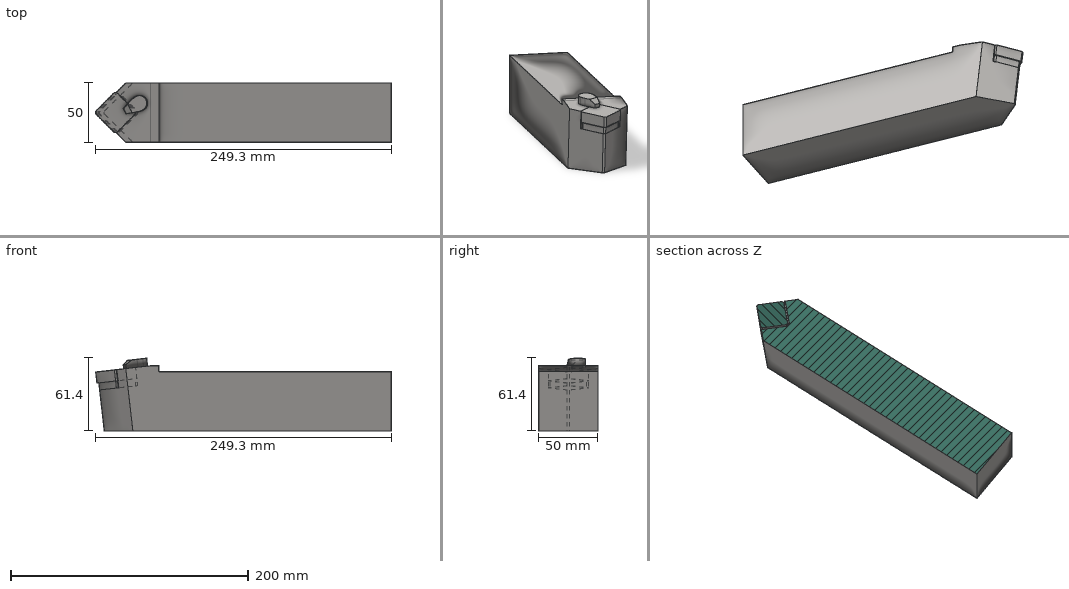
import cadquery as cq
import math

length = 249.3
width = 50.0
shank_height = width
head_height = 55.0
ridge_x = 46.1
step_x = 53.4
step_fillet = 1.0
rake = 6.5

insert_side = 25.5
insert_thickness = 9.5
corner_flat = 2.07
shim_thickness = 6.0
flank_inset = 1.12

clamp_x = 25.0
clamp_y = 1.15
clamp_angle = 28.0
clamp_height = 6.7
clamp_nose_height = 3.2
clamp_nose_half_width = 2.5
clamp_ramp_length = 5.5
clamp_radius = 6.5
clamp_round_center = 14.5
clamp_blend_start = 9.5

nose_z = head_height - ridge_x * math.tan(math.radians(rake))
insert_center = insert_side / math.sqrt(2) - corner_flat / 2
pocket_depth = insert_thickness + shim_thickness
shim_side = insert_side - 2 * flank_inset
head_nose = flank_inset * math.sqrt(2)

seat_x = cq.Vector(math.cos(math.radians(rake)), 0, math.sin(math.radians(rake)))
seat_normal = cq.Vector(-seat_x.z, 0, seat_x.x)
seat = cq.Plane(origin=(0, 0, nose_z), xDir=seat_x, normal=seat_normal)


def square_plate(side, thickness, depth):
    """Corner-first square plate with flattened corners, its top at a depth below the seat plane."""
    leg = corner_flat / math.sqrt(2)
    return (
        cq.Workplane(seat)
        .transformed(offset=(insert_center, 0, -depth), rotate=(0, 0, 45))
        .rect(side, side)
        .extrude(-thickness)
        .edges(cq.selectors.ParallelDirSelector(seat_normal))
        .chamfer(leg)
    )


def make_bar():
    """Shank and raised head, pointed in plan by flanks square to the seat plane."""
    overhang = -shank_height
    overhang_z = nose_z + overhang * math.tan(math.radians(rake))
    bar = (
        cq.Workplane("XZ", origin=(0, width / 2, 0))
        .moveTo(overhang, 0)
        .lineTo(length, 0)
        .lineTo(length, shank_height)
        .lineTo(step_x + step_fillet, shank_height)
        .radiusArc((step_x, shank_height + step_fillet), step_fillet)
        .lineTo(step_x, head_height)
        .lineTo(ridge_x, head_height)
        .lineTo(overhang, overhang_z)
        .close()
        .extrude(width)
    )
    half_flat = corner_flat / 2
    rear = 2 * length
    half_spread = half_flat + rear - head_nose
    pointed_prism = (
        cq.Workplane(seat)
        .polyline([
            (head_nose, -half_flat),
            (rear, -half_spread),
            (rear, half_spread),
            (head_nose, half_flat),
        ])
        .close()
        .extrude(length, both=True)
    )
    return bar.intersect(pointed_prism)


def make_clamp():
    """Teardrop clamp with a ramped nose, standing on the seat plane."""
    blend_middle = (clamp_blend_start + clamp_round_center) / 2
    taper = (clamp_radius - clamp_nose_half_width) / blend_middle
    blend_half_width = clamp_nose_half_width + taper * clamp_blend_start
    clamp_end = clamp_round_center + clamp_radius
    base = cq.Workplane(seat).transformed(offset=(clamp_x, clamp_y, 0), rotate=(0, 0, clamp_angle))
    teardrop = (
        base.moveTo(0, -clamp_nose_half_width)
        .lineTo(clamp_blend_start, -blend_half_width)
        .tangentArcPoint((clamp_round_center, -clamp_radius), relative=False)
        .threePointArc((clamp_end, 0), (clamp_round_center, clamp_radius))
        .tangentArcPoint((clamp_blend_start, blend_half_width), relative=False)
        .lineTo(0, clamp_nose_half_width)
        .close()
        .extrude(clamp_height)
    )
    ramp_cut = (
        base.transformed(rotate=(90, 0, 0))
        .moveTo(0, clamp_nose_height)
        .lineTo(clamp_ramp_length, clamp_height)
        .lineTo(0, clamp_height)
        .close()
        .extrude(clamp_radius, both=True)
    )
    return teardrop.cut(ramp_cut)


def make_holder():
    """Bar with its insert pocket and the clamp that reaches over it."""
    pocket = square_plate(insert_side, pocket_depth, 0)
    return make_bar().cut(pocket).union(make_clamp())


def make_insert():
    """Cutting plate on its smaller shim, flush with the head flanks below."""
    plate = square_plate(insert_side, insert_thickness, 0)
    shim = square_plate(shim_side, shim_thickness, insert_thickness)
    return plate.union(shim)


holder = make_holder()
insert = make_insert()
result = cq.Compound.makeCompound([*holder.solids().vals(), *insert.solids().vals()])